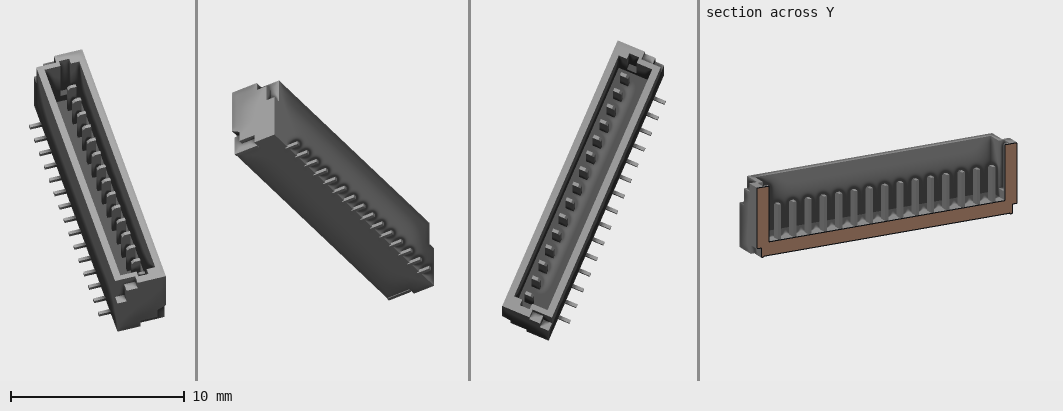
import cadquery as cq

LENGTH = 17.0
HOUSING_DEPTH = 2.9
HOUSING_HEIGHT = 4.25
FRONT_Y = -HOUSING_DEPTH / 2
BACK_Y = HOUSING_DEPTH / 2
END_X = LENGTH / 2

END_WALL = 0.8
SIDE_WALL = 0.4
CAVITY_FLOOR = 0.85
SLOT_END_WALL = 0.45
SLOT_FLOOR = 1.36
SLOT_WIDTH = 0.61
SLOT_FROM_BACK = 0.92

RELIEF_DEPTH = 0.5
RELIEF_LONG_Y = 1.2
RELIEF_SHORT_Y = 0.55
RELIEF_UPPER_Z = 0.51
RELIEF_LOWER_Z = 1.53

TAB_THICKNESS = 0.2
TAB_DROP = 0.05
TAB_LEG_WIDTH = 0.51
TAB_FOOT_LENGTH = 1.53
TAB_FOOT_TOP = 0.53
TAB_TOP = 1.19
POCKET_DEPTH = 0.5
POCKET_SLOPE_RISE = 0.27

CONTACT_COUNT = 15
CONTACT_ROW_LENGTH = 14.0
CONTACT_PITCH = CONTACT_ROW_LENGTH / (CONTACT_COUNT - 1)
CONTACT_WIDTH = 0.2
POST_DEPTH = 0.51
POST_FROM_BACK = 0.82
POST_TOP = 3.0
POST_TIP_CHAMFER = 0.15
FOOT_LENGTH = 0.7
FOOT_THICKNESS = 0.2
FOOT_DROP = 0.07
FOOT_EMBED = 0.14


def box(x0, x1, y0, y1, z0, z1):
    """Axis-aligned block between two opposite corners."""
    return cq.Workplane("XY").box(x1 - x0, y1 - y0, z1 - z0, centered=False).translate((x0, y0, z0))


def side_profile(points, start_x, thickness):
    """Extrude a closed (Y, Z) outline towards +X from start_x."""
    return cq.Workplane("YZ", origin=(start_x, 0, 0)).polyline(points).close().extrude(thickness)


def both_ends(shape):
    """The -X end shape together with its mirror image at the +X end."""
    return shape.union(shape.mirror("YZ"))


def cavity():
    half_length = END_X - END_WALL
    half_slotted_length = END_X - SLOT_END_WALL
    slot_back = BACK_Y - SLOT_FROM_BACK
    main = box(-half_length, half_length, FRONT_Y + SIDE_WALL, BACK_Y - SIDE_WALL,
               CAVITY_FLOOR, HOUSING_HEIGHT)
    slots = box(-half_slotted_length, half_slotted_length, slot_back - SLOT_WIDTH, slot_back,
                SLOT_FLOOR, HOUSING_HEIGHT)
    return main.union(slots)


def corner_relief():
    step_z = HOUSING_HEIGHT - RELIEF_UPPER_Z
    bottom_z = HOUSING_HEIGHT - RELIEF_LOWER_Z
    outline = [
        (FRONT_Y, HOUSING_HEIGHT),
        (FRONT_Y + RELIEF_LONG_Y, HOUSING_HEIGHT),
        (FRONT_Y + RELIEF_LONG_Y, step_z),
        (FRONT_Y + RELIEF_SHORT_Y, step_z),
        (FRONT_Y + RELIEF_SHORT_Y, bottom_z),
        (FRONT_Y, bottom_z),
    ]
    return side_profile(outline, -END_X, RELIEF_DEPTH)


def tab_outline(bottom_z, back_top_z):
    """L shape whose upper edge rises to back_top_z at the back face."""
    leg_y = BACK_Y - TAB_LEG_WIDTH
    foot_y = BACK_Y - TAB_FOOT_LENGTH
    return [
        (BACK_Y, bottom_z),
        (BACK_Y, back_top_z),
        (leg_y, TAB_TOP),
        (leg_y, TAB_FOOT_TOP),
        (foot_y, TAB_FOOT_TOP),
        (foot_y, bottom_z),
    ]


def tab_pocket():
    return side_profile(tab_outline(0, TAB_TOP + POCKET_SLOPE_RISE), -END_X, POCKET_DEPTH)


def solder_tab():
    return side_profile(tab_outline(-TAB_DROP, TAB_TOP), POCKET_DEPTH - TAB_THICKNESS - END_X, TAB_THICKNESS)


def contact(centre_x):
    """Post with a bevelled front tip, plus the foot reaching out of the front face."""
    post_back = BACK_Y - POST_FROM_BACK
    post_front = post_back - POST_DEPTH
    left_x = centre_x - CONTACT_WIDTH / 2
    post = side_profile([
        (post_back, CAVITY_FLOOR),
        (post_back, POST_TOP),
        (post_front + POST_TIP_CHAMFER, POST_TOP),
        (post_front, POST_TOP - POST_TIP_CHAMFER),
        (post_front, CAVITY_FLOOR),
    ], left_x, CONTACT_WIDTH)
    foot = box(left_x, left_x + CONTACT_WIDTH, FRONT_Y - FOOT_LENGTH, FRONT_Y + FOOT_EMBED,
               -FOOT_DROP, FOOT_THICKNESS - FOOT_DROP)
    return post.union(foot)


housing = box(-END_X, END_X, FRONT_Y, BACK_Y, 0, HOUSING_HEIGHT)
result = housing.cut(cavity()).cut(both_ends(corner_relief())).cut(both_ends(tab_pocket()))
result = result.union(both_ends(solder_tab()))
for index in range(CONTACT_COUNT):
    result = result.union(contact(index * CONTACT_PITCH - CONTACT_ROW_LENGTH / 2))